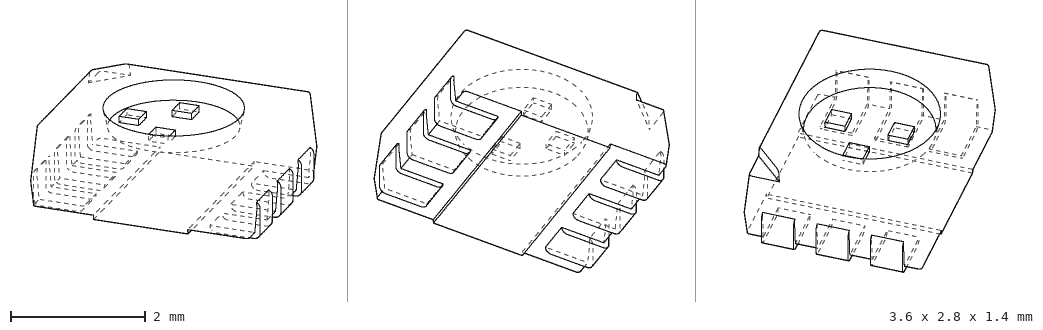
import cadquery as cq
import math

LENGTH = 3.6
HEIGHT = 1.4

BODY_LENGTH = 3.5
BODY_WIDTH = 2.8
BODY_BOTTOM = 0.1
PARTING_Z = 0.5
DRAFT_ANGLE = 5.0
EDGE_RADIUS = 0.05

PAD_LENGTH = 1.5
PAD_BOTTOM = 0.03

CUP_TOP_DIAMETER = 2.1
CUP_FLOOR_DIAMETER = 1.965
CUP_DEPTH = 0.3
CHIP_SIZE = 0.31
CHIP_HEIGHT = 0.1
CHIP_OFFSET_X = 0.65
CHIP_OFFSET_Y = 0.49

NOTCH_DEPTH = 0.2
NOTCH_LEG = 0.482

LEAD_THICKNESS = BODY_BOTTOM
LEAD_WIDTH = 0.5
LEAD_PITCH = 0.85
LEAD_HEIGHT = 0.6
LEAD_FOOT = 0.8
LEAD_COUNT = 3


def draft_inset(distance):
    """Inward shift of a drafted wall at a distance from the parting line."""
    return distance * math.tan(math.radians(DRAFT_ANGLE))


def make_body_half(height):
    """Drafted half of the body, extruded up or down from the parting line."""
    return (
        cq.Workplane("XY", origin=(0, 0, PARTING_Z))
        .rect(BODY_LENGTH, BODY_WIDTH)
        .extrude(height, taper=DRAFT_ANGLE)
    )


def make_body():
    upper = make_body_half(HEIGHT - PARTING_Z)
    upper = upper.edges("not(|X or |Y)").fillet(EDGE_RADIUS)
    upper = upper.faces(">Z").edges().fillet(EDGE_RADIUS)
    lower = make_body_half(BODY_BOTTOM - PARTING_Z)
    lower = lower.edges("not(|X or |Y)").fillet(EDGE_RADIUS)
    return upper.union(lower)


def make_pad():
    """Standoff pad whose end walls continue the body draft."""
    slab = (
        cq.Workplane("XY", origin=(0, 0, PAD_BOTTOM))
        .rect(PAD_LENGTH, BODY_WIDTH)
        .extrude(PARTING_Z - PAD_BOTTOM)
    )
    return make_body_half(PAD_BOTTOM - PARTING_Z).intersect(slab)


def make_cup():
    return (
        cq.Workplane("XY", origin=(0, 0, HEIGHT))
        .circle(CUP_TOP_DIAMETER / 2)
        .workplane(offset=-CUP_DEPTH)
        .circle(CUP_FLOOR_DIAMETER / 2)
        .loft()
    )


def make_chips():
    centers = [(0, CHIP_OFFSET_Y), (0, -CHIP_OFFSET_Y), (-CHIP_OFFSET_X, 0)]
    return (
        cq.Workplane("XY", origin=(0, 0, HEIGHT - CUP_DEPTH))
        .pushPoints(centers)
        .rect(CHIP_SIZE, CHIP_SIZE)
        .extrude(CHIP_HEIGHT)
    )


def make_notch():
    floor_z = HEIGHT - NOTCH_DEPTH
    inset = draft_inset(floor_z - PARTING_Z)
    corner_x = -BODY_LENGTH / 2 + inset
    corner_y = BODY_WIDTH / 2 - inset
    return (
        cq.Workplane("XY", origin=(0, 0, floor_z))
        .polyline([
            (corner_x - NOTCH_LEG, corner_y - 2 * NOTCH_LEG),
            (corner_x + 2 * NOTCH_LEG, corner_y + NOTCH_LEG),
            (corner_x - NOTCH_LEG, corner_y + NOTCH_LEG),
        ])
        .close()
        .extrude(NOTCH_DEPTH)
    )


def make_left_lead():
    """L-shaped lead on the -X side with quarter-round outer bend and ends."""
    outer_x = -LENGTH / 2
    inner_x = outer_x + LEAD_THICKNESS
    foot_x = outer_x + LEAD_FOOT
    t = LEAD_THICKNESS
    return (
        cq.Workplane("XZ", origin=(0, LEAD_WIDTH / 2, 0))
        .moveTo(inner_x, 0)
        .lineTo(foot_x - t, 0)
        .radiusArc((foot_x, t), -t)
        .lineTo(inner_x, t)
        .lineTo(inner_x, LEAD_HEIGHT)
        .radiusArc((outer_x, LEAD_HEIGHT - t), -t)
        .lineTo(outer_x, t)
        .radiusArc((inner_x, 0), -t)
        .close()
        .extrude(LEAD_WIDTH)
    )


result = make_body().union(make_pad()).cut(make_cup()).cut(make_notch()).union(make_chips())

left_lead = make_left_lead()
for index in range(LEAD_COUNT):
    lead = left_lead.translate((0, (index - (LEAD_COUNT - 1) / 2) * LEAD_PITCH, 0))
    result = result.union(lead).union(lead.mirror("YZ"))